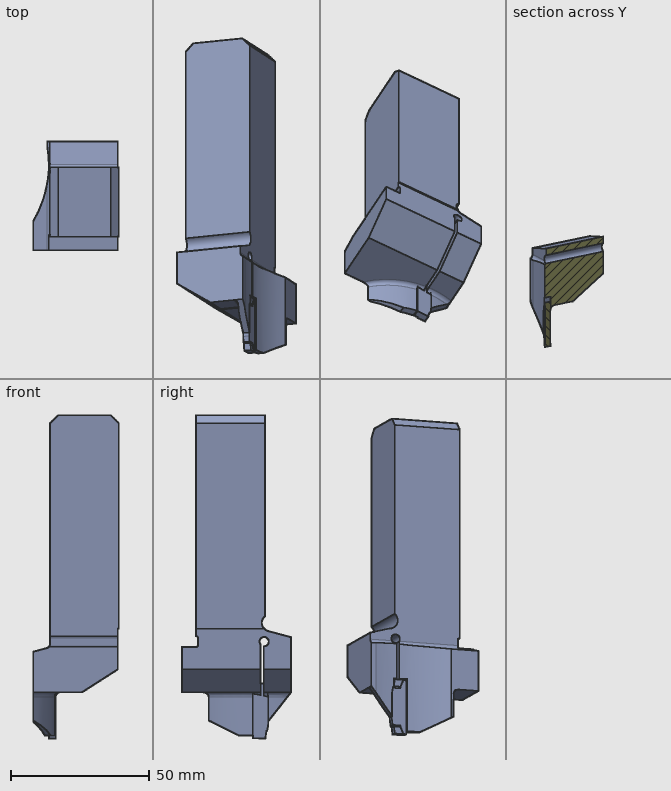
import cadquery as cq
import math


height = 116.8
width = 31.0
depth = 39.4

shank_side = 25.0
shank_front = 5.0
shank_left = 6.1
shank_back = shank_front + shank_side
end_chamfer = 2.9

head_bottom = 16.7
head_right = width - 0.4
right_step_height = 39.7
right_chamfer_top = 25.0
right_chamfer_start = 17.6
left_edge_height = 31.4
shoulder_slope = math.tan(math.radians(15))
neck_radius = 1.6
ledge_height = 33.2
recess_top = 36.9
recess_front = shank_front + 0.7
recess_radius = 0.5
back_edge_height = 36.7
relief_radius = 3.0
relief_depth = 1.2

blade_bottom = 1.0
blade_front_height = 6.5
blade_front_flat = 20.7
blade_front_edge = 9.6
blade_front_slope = (blade_front_height - blade_bottom) / (blade_front_flat - blade_front_edge)
inner_radius = 40.0
outer_radius = 32.0
curve_center_y = 31.0
concave_depth = 5.6
convex_depth = 8.2
root_radius = 1.5
back_flat_start = 37.6
back_flat_reach = math.sqrt(inner_radius**2 - (back_flat_start - curve_center_y) ** 2)
back_flat_left = concave_depth - inner_radius + back_flat_reach

slot_front = 28.4
slot_width = 1.0
slot_hole_y = 29.7
slot_hole_z = 35.0
slot_hole_radius = 1.6

seat = 25.6
insert_back = 31.2
insert_length = 20.0
insert_mid = insert_length / 2
insert_left = 5.6
insert_right = 8.2
body_clearance = 0.2
tip_y = 30.1
edge_back = 30.5
tip_rise = 0.1
neck_y = 30.8
neck_height = 3.0
body_back_height = 5.1
edge_height = 2.6
ramp_height = 0.6
edge_bevel_inner = 27.9
edge_bevel_outer = 26.9
pocket_top = 20.3
jaw_tip_height = 6.3


def extrude_along_x(points, left, right):
    """Prism over a (Y, Z) polygon, from X = left to X = right."""
    return cq.Workplane("YZ").workplane(offset=left).polyline(points).close().extrude(right - left)


def box(x_range, y_range, z_range):
    """Axis-aligned box between pairs of limits."""
    size = [limits[1] - limits[0] for limits in (x_range, y_range, z_range)]
    corner = (x_range[0], y_range[0], z_range[0])
    return cq.Workplane("XY").box(*size, centered=False).translate(corner)


def front_profile():
    """Shank and head outline in XZ, through the whole depth."""
    shoulder_height = left_edge_height + shank_left * shoulder_slope
    outline = [
        (0, head_bottom),
        (right_chamfer_start, head_bottom),
        (head_right, right_chamfer_top),
        (head_right, right_step_height),
        (width, right_step_height),
        (width, height - end_chamfer),
        (width - end_chamfer, height),
        (shank_left + end_chamfer, height),
        (shank_left, height - end_chamfer),
        (shank_left, shoulder_height),
        (0, left_edge_height),
    ]
    prism = cq.Workplane("XZ").polyline(outline).close().extrude(-depth)
    inner_corner = cq.selectors.NearestToPointSelector((shank_left, depth / 2, shoulder_height))
    return prism.edges(inner_corner).fillet(neck_radius)


def side_profile():
    """Outline of shank, head and blade in YZ, through the whole width."""
    slope_angle = math.atan(shoulder_slope)
    groove_y = shank_back - relief_depth + relief_radius
    slope_below_groove = back_edge_height + (depth - groove_y) * shoulder_slope
    groove_z = slope_below_groove + relief_radius / math.cos(slope_angle)
    groove_top = groove_z + math.sqrt(relief_radius**2 - (groove_y - shank_back) ** 2)
    tangent_y = groove_y - relief_radius * math.sin(slope_angle)
    tangent_z = groove_z - relief_radius * math.cos(slope_angle)
    return (
        cq.Workplane("YZ")
        .moveTo(0, head_bottom)
        .lineTo(0, ledge_height)
        .lineTo(recess_front - recess_radius, ledge_height)
        .radiusArc((recess_front, ledge_height + recess_radius), -recess_radius)
        .lineTo(recess_front, recess_top - recess_radius)
        .radiusArc((recess_front - recess_radius, recess_top), -recess_radius)
        .lineTo(shank_front, recess_top)
        .lineTo(shank_front, height)
        .lineTo(shank_back, height)
        .lineTo(shank_back, groove_top)
        .threePointArc((groove_y - relief_radius, groove_z), (tangent_y, tangent_z))
        .lineTo(depth, back_edge_height)
        .lineTo(depth, head_bottom)
        .lineTo(insert_back, jaw_tip_height)
        .lineTo(insert_back, blade_bottom)
        .lineTo(blade_front_flat, blade_bottom)
        .lineTo(0, blade_front_height + blade_front_edge * blade_front_slope)
        .close()
        .extrude(width)
    )


def blade_block():
    """Blade with a convex outer side that flares into the head through a root fillet."""
    flare_radius = outer_radius + root_radius
    half_section = (
        cq.Workplane("XZ")
        .moveTo(0, blade_bottom)
        .lineTo(outer_radius, blade_bottom)
        .lineTo(outer_radius, head_bottom - root_radius)
        .radiusArc((flare_radius, head_bottom), root_radius)
        .lineTo(0, head_bottom)
        .close()
    )
    convex = half_section.revolve(360, (0, 0), (0, 1))
    convex = convex.translate((convex_depth - outer_radius, curve_center_y, 0))
    return convex.intersect(box((0, width), (0, depth), (0, head_bottom)))


def concave_cutter():
    """Cylinder that hollows the left side of head and blade, with the flat at the back."""
    cylinder = (
        cq.Workplane("XY")
        .center(concave_depth - inner_radius, curve_center_y)
        .circle(inner_radius)
        .extrude(back_edge_height)
    )
    back_flat = box((0, back_flat_left), (back_flat_start, depth), (0, back_edge_height))
    return cylinder.union(back_flat)


def slot_cutter():
    """Slot above the insert that lets the clamping jaw flex, ending in a round hole."""
    slot = box((0, width), (slot_front, slot_front + slot_width), (insert_mid, slot_hole_z))
    hole = cq.Workplane("YZ").center(slot_hole_y, slot_hole_z).circle(slot_hole_radius).extrude(width)
    return slot.union(hole)


def pocket_cutter():
    """Insert pocket between blade and jaw, with a small gap above the upper insert end."""
    outline = [
        (seat, 0),
        (seat, pocket_top),
        (edge_back, pocket_top),
        (edge_back, insert_length - edge_height),
        (neck_y, insert_length - neck_height),
        (insert_back, insert_length - body_back_height),
        (insert_back, 0),
    ]
    return extrude_along_x(outline, 0, insert_right)


def make_holder():
    head_and_shank = front_profile()
    holder = head_and_shank.union(blade_block()).intersect(side_profile())
    return holder.cut(concave_cutter()).cut(slot_cutter()).cut(pocket_cutter())


def mirror_height(points):
    """The (Y, Z) points reflected about the insert's mid height, in reverse order."""
    return [(y, insert_length - z) for y, z in reversed(points)]


def cutting_end_ramp():
    """Ramp from the wide lower cutting end down to the narrower body above it."""
    body_left = insert_left + body_clearance
    section = [
        (insert_left, edge_height),
        (body_left, edge_height + ramp_height),
        (body_left, edge_height),
    ]
    ramp = cq.Workplane("XZ").polyline(section).close().extrude(edge_bevel_inner - edge_back)
    return ramp.translate((0, edge_bevel_inner, 0))


def make_insert():
    lower_back = [
        (seat, tip_rise),
        (tip_y, 0),
        (edge_back, edge_height),
        (neck_y, neck_height),
        (insert_back, body_back_height),
    ]
    body = extrude_along_x(
        lower_back + mirror_height(lower_back),
        insert_left + body_clearance,
        insert_right,
    )
    slope = tip_rise / (tip_y - seat)
    end_outline = [
        (edge_bevel_outer, (tip_y - edge_bevel_outer) * slope),
        (tip_y, 0),
        (edge_back, edge_height),
        (edge_bevel_inner, edge_height),
    ]
    lower_end = extrude_along_x(end_outline, insert_left, insert_right).union(cutting_end_ramp())
    upper_end = lower_end.mirror("XY", (0, 0, insert_mid))
    return body.union(lower_end).union(upper_end)


holder = make_holder()
insert = make_insert()
result = cq.Compound.makeCompound([*holder.solids().vals(), *insert.solids().vals()])